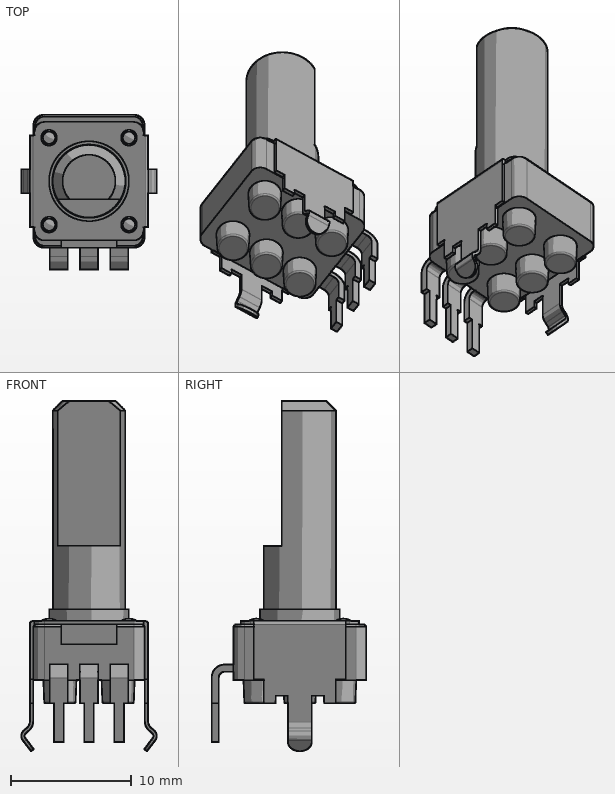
import cadquery as cq
import math


SHAFT_DIA = 6.0
SHAFT_TOP = 25.0
SHAFT_CHAMFER = 0.8
FLAT_LENGTH = 12.0
FLAT_OFFSET = 1.5

SHEET = 0.3
COVER_TOP = 6.8
COVER_WIDTH = 9.8
COVER_LENGTH = 9.8
PLATE_END_WIDTH = 9.0
PLATE_CORNER_RADIUS = 0.8
FLAP_BEND_RADIUS = 0.25
FLAP_WIDTH = 7.6
FLAP_BOTTOM = 2.0
FOOT_SPAN = 5.97
FOOT_GAP = 4.0
FOOT_HEIGHT = 0.6
COLLAR_DIA = 6.6
COLLAR_BORE = 6.1
COLLAR_TOP = 7.8

CLIP_WIDTH = 2.0
CLIP_SPAN = 11.22
CLIP_BEND_TOP = -1.5
CLIP_TIP = -3.97
CLIP_OUT_ANGLE = 48
CLIP_IN_ANGLE = 37
CLIP_BEND_RADIUS = 0.67
CLIP_BULGE_RADIUS = 0.58

HOUSING_LENGTH = 11.0
HOUSING_BOTTOM = 1.9
HOUSING_CORNER_RADIUS = 0.9
HOUSING_CHAMFER = 0.17
RECESS_WIDTH = 4.6
RECESS_BOTTOM = 4.9
PEG_TOP_DIA = 2.75
PEG_BOTTOM_DIA = 2.6
PEG_FILLET = 0.15
PEG_SPACING_X = 4.8
PEG_SPACING_Y = 3.3
PEG_ROWS = 3
RIVET_DIA = 1.0
RIVET_HEAD_DIA = 1.3
RIVET_HEAD_HEIGHT = 0.2
RIVET_SPACING_X = 6.6
RIVET_SPACING_Y = 7.2

TERMINAL_COUNT = 3
TERMINAL_PITCH = 2.5
TERMINAL_WIDTH = 1.5
TERMINAL_THICKNESS = 0.6
TERMINAL_TOP = 3.22
TERMINAL_FRONT = -7.3
TERMINAL_INNER_BEND = 0.5
TERMINAL_TIP = -3.22
PIN_WIDTH = 0.8

housing_top = COVER_TOP - SHEET
housing_width = COVER_WIDTH - 2 * SHEET
housing_front = -HOUSING_LENGTH / 2


def box(x_size, y_size, bottom, top):
    """Box centred on the Z axis between two heights."""
    return cq.Workplane("XY").workplane(offset=bottom).rect(x_size, y_size).extrude(top - bottom)


def rod(diameter, bottom, top):
    """Cylinder on the Z axis between two heights."""
    return cq.Workplane("XY").workplane(offset=bottom).circle(diameter / 2).extrude(top - bottom)


def rivet_places():
    return cq.Workplane("XY").rect(RIVET_SPACING_X, RIVET_SPACING_Y, forConstruction=True).vertices()


def make_shaft():
    shaft = rod(SHAFT_DIA, housing_top, SHAFT_TOP).faces(">Z").chamfer(SHAFT_CHAMFER)
    flat_depth = SHAFT_DIA / 2 - FLAT_OFFSET
    flat_cut = box(SHAFT_DIA, flat_depth, SHAFT_TOP - FLAT_LENGTH, SHAFT_TOP)
    return shaft.cut(flat_cut.translate((0, -FLAT_OFFSET - flat_depth / 2, 0)))


def make_peg():
    peg_profile = [
        (0, 0),
        (PEG_BOTTOM_DIA / 2, 0),
        (PEG_TOP_DIA / 2, HOUSING_BOTTOM),
        (0, HOUSING_BOTTOM),
    ]
    peg = cq.Workplane("XZ").polyline(peg_profile).close().revolve(360, (0, 0), (0, 1))
    return peg.faces("<Z").edges().fillet(PEG_FILLET)


def make_rivet():
    """Stem through the cover with a domed head on top of it."""
    sphere_radius = (RIVET_HEAD_DIA**2 / 4 + RIVET_HEAD_HEIGHT**2) / (2 * RIVET_HEAD_HEIGHT)
    sphere = cq.Workplane("XY").sphere(sphere_radius)
    sphere = sphere.translate((0, 0, COVER_TOP + RIVET_HEAD_HEIGHT - sphere_radius))
    head = rod(RIVET_HEAD_DIA, COVER_TOP, COVER_TOP + RIVET_HEAD_HEIGHT).intersect(sphere)
    return rod(RIVET_DIA, housing_top, COVER_TOP).union(head)


def housing_block(bottom):
    """Outside of the housing walls, from the given height to the cover plate."""
    block = box(housing_width, HOUSING_LENGTH, bottom, housing_top)
    return block.edges("|Z").fillet(HOUSING_CORNER_RADIUS).faces(">Z").chamfer(HOUSING_CHAMFER)


def make_housing():
    housing = housing_block(HOUSING_BOTTOM)

    recess_depth = (HOUSING_LENGTH - COVER_LENGTH) / 2
    recess = box(RECESS_WIDTH, recess_depth, RECESS_BOTTOM, housing_top)
    housing = housing.cut(recess.translate((0, housing_front + recess_depth / 2, 0)))

    peg = make_peg()
    for x in (-PEG_SPACING_X / 2, PEG_SPACING_X / 2):
        for row in range(PEG_ROWS):
            y = (row - (PEG_ROWS - 1) / 2) * PEG_SPACING_Y
            housing = housing.union(peg.translate((x, y, 0)))

    rivet = make_rivet()
    for place in rivet_places().vals():
        housing = housing.union(rivet.translate(place.toTuple()))
    return housing


def make_clip():
    """Clip on the +X side: two bends that form a bulge, then a leg with a round tip."""
    out_angle = math.radians(CLIP_OUT_ANGLE)
    in_angle = math.radians(CLIP_IN_ANGLE)
    wall_x = COVER_WIDTH / 2 - SHEET / 2
    bend_radius = CLIP_BEND_RADIUS + SHEET / 2
    bulge_radius = CLIP_BULGE_RADIUS - SHEET / 2
    bulge_x = CLIP_SPAN / 2 - SHEET / 2 - bulge_radius

    def on_bend(angle):
        return (
            wall_x + bend_radius * (1 - math.cos(angle)),
            CLIP_BEND_TOP - bend_radius * math.sin(angle),
        )

    bend_end = on_bend(out_angle)
    bulge_start_x = bulge_x + bulge_radius * math.cos(out_angle)
    slope_drop = (bulge_start_x - bend_end[0]) / math.tan(out_angle)
    bulge_z = bend_end[1] - slope_drop - bulge_radius * math.sin(out_angle)

    def on_bulge(angle):
        return (bulge_x + bulge_radius * math.cos(angle), bulge_z + bulge_radius * math.sin(angle))

    leg_start = on_bulge(-in_angle)
    mid_line = (
        cq.Workplane("XZ")
        .moveTo(wall_x, FOOT_HEIGHT)
        .lineTo(wall_x, CLIP_BEND_TOP)
        .threePointArc(on_bend(out_angle / 2), bend_end)
        .lineTo(*on_bulge(out_angle))
        .threePointArc(on_bulge(0), leg_start)
    )
    strip = cq.Workplane("XY", origin=(wall_x, 0, FOOT_HEIGHT)).rect(SHEET, CLIP_WIDTH).sweep(mid_line)

    outer_drop = SHEET / 2 * math.sin(in_angle)
    leg_length = (leg_start[1] - outer_drop - CLIP_TIP) / math.cos(in_angle)
    leg_plane = cq.Plane(
        origin=(leg_start[0], 0, leg_start[1]),
        xDir=(0, 1, 0),
        normal=(-math.cos(in_angle), 0, math.sin(in_angle)),
    )
    half_width = CLIP_WIDTH / 2
    leg = (
        cq.Workplane(leg_plane)
        .moveTo(-half_width, 0)
        .lineTo(-half_width, leg_length - half_width)
        .threePointArc((0, leg_length), (half_width, leg_length - half_width))
        .lineTo(half_width, 0)
        .close()
        .extrude(SHEET / 2, both=True)
    )
    return strip.union(leg)


def make_cover():
    plate = box(PLATE_END_WIDTH, COVER_LENGTH, housing_top, COVER_TOP)
    plate = plate.edges("|Z").fillet(PLATE_CORNER_RADIUS)
    flaps = box(COVER_WIDTH, FLAP_WIDTH, FLAP_BOTTOM, COVER_TOP).edges("|Y and >Z").fillet(FLAP_BEND_RADIUS)
    feet = box(COVER_WIDTH, FOOT_SPAN, 0, FLAP_BOTTOM).cut(box(COVER_WIDTH, FOOT_GAP, 0, FOOT_HEIGHT))
    flaps = flaps.union(feet).cut(housing_block(0))
    cover = plate.union(flaps).union(rod(COLLAR_DIA, COVER_TOP, COLLAR_TOP))

    clip = make_clip()
    cover = cover.union(clip).union(clip.mirror("YZ"))

    cover = cover.cut(rod(COLLAR_BORE, housing_top, COLLAR_TOP))
    for place in rivet_places().vals():
        cover = cover.cut(rod(RIVET_DIA, housing_top, COVER_TOP).translate(place.toTuple()))
    return cover


def make_terminal():
    """Strip bent down from the -Y wall of the housing, with a narrow pin below the board plane."""
    outer_bend = TERMINAL_INNER_BEND + TERMINAL_THICKNESS
    strip = (
        cq.Workplane("YZ")
        .moveTo(housing_front, TERMINAL_TOP)
        .lineTo(TERMINAL_FRONT + outer_bend, TERMINAL_TOP)
        .radiusArc((TERMINAL_FRONT, TERMINAL_TOP - outer_bend), -outer_bend)
        .lineTo(TERMINAL_FRONT, 0)
        .lineTo(TERMINAL_FRONT + TERMINAL_THICKNESS, 0)
        .lineTo(TERMINAL_FRONT + TERMINAL_THICKNESS, TERMINAL_TOP - outer_bend)
        .radiusArc((TERMINAL_FRONT + outer_bend, TERMINAL_TOP - TERMINAL_THICKNESS), TERMINAL_INNER_BEND)
        .lineTo(housing_front, TERMINAL_TOP - TERMINAL_THICKNESS)
        .close()
        .extrude(TERMINAL_WIDTH / 2, both=True)
    )
    pin = box(PIN_WIDTH, TERMINAL_THICKNESS, TERMINAL_TIP, 0)
    return strip.union(pin.translate((0, TERMINAL_FRONT + TERMINAL_THICKNESS / 2, 0)))


shaft = make_shaft()
housing = make_housing()
cover = make_cover()

terminal = make_terminal()
terminals = []
for index in range(TERMINAL_COUNT):
    x = (index - (TERMINAL_COUNT - 1) / 2) * TERMINAL_PITCH
    terminals.append(terminal.translate((x, 0, 0)).val())

result = cq.Compound.makeCompound([shaft.val(), housing.val(), cover.val(), *terminals])